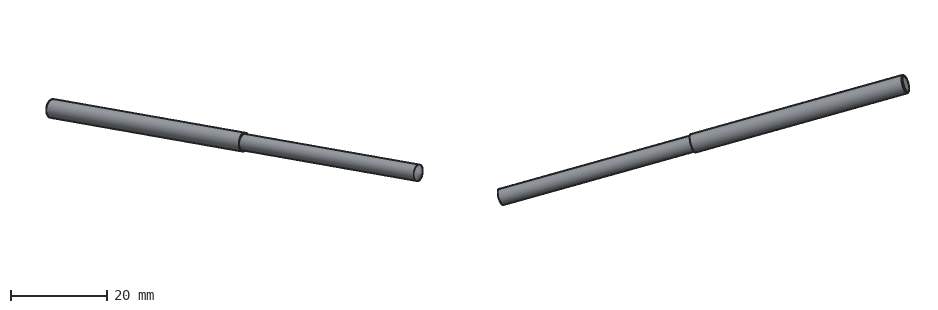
import cadquery as cq
import math

total_length = 92.0
shank_length = 48.0
shank_diameter = 4.0
cutting_diameter = 3.5
shank_chamfer = 0.25
point_angle = 140.0

shank_radius = shank_diameter / 2
cutting_radius = cutting_diameter / 2
tip_length = cutting_radius / math.tan(math.radians(point_angle / 2))
tip_start = total_length - tip_length

half_profile = (
    cq.Workplane("XY")
    .moveTo(0, 0)
    .lineTo(0, shank_radius - shank_chamfer)
    .lineTo(shank_chamfer, shank_radius)
    .lineTo(shank_length, shank_radius)
    .lineTo(shank_length, cutting_radius)
    .lineTo(tip_start, cutting_radius)
    .lineTo(total_length, 0)
    .close()
)

result = half_profile.revolve(360, (0, 0, 0), (1, 0, 0))